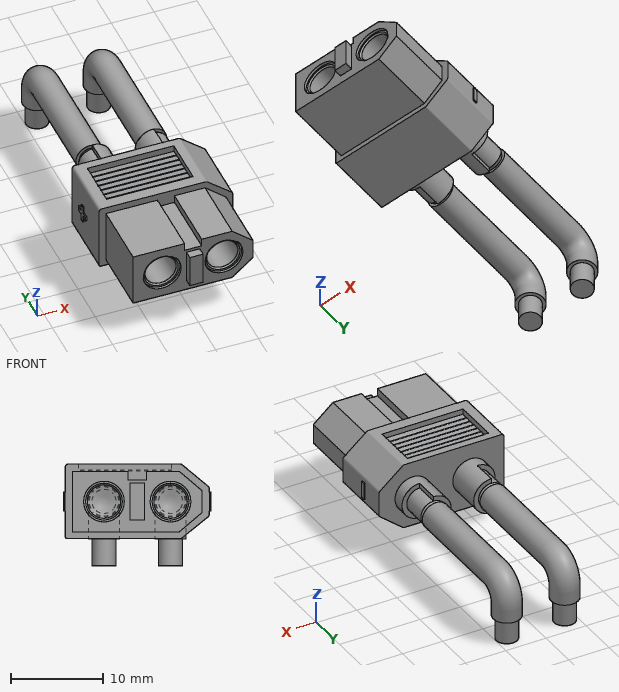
import cadquery as cq
import math


overall_length = 38.9

contact_pitch = 7.2
contact_dia = 4.4
socket_dia = 3.6
socket_mouth_dia = 3.95
socket_depth = 7.0
socket_tip_angle = 150.0
contact_recess = 0.3
cup_cut_start = 17.23
cup_end = 20.25
core_dia = 3.2
conductor_dia = 2.6
sleeve_dia = 3.4
sleeve_start = 20.75
wire_z = 0.02
bend_radius = 2.5
sleeve_bottom = -4.05
conductor_bottom = -6.95

plug_length = 7.85
plug_width = 14.0
plug_height = 6.55
plug_nose_height = 2.37
plug_shoulder_x = 4.55
key_slot_width = 2.0
key_slot_depth = 0.95
tongue_width = 1.55
tongue_height = 3.95
tongue_length = 0.97

shell_length = 7.85
shell_width = 15.6
shell_top = 4.1
shell_bottom = -4.0
shell_nose_height = 3.1
shell_shoulder_x = 4.75
top_round = 0.4
bottom_round = 0.25
panel_left = -6.38
panel_width = 10.07
panel_front = 9.2
panel_length = 5.52
panel_depth = 0.78
tooth_count = 7
tooth_pitch = panel_length / tooth_count
tooth_height = 0.1
mark_length = 2.05
mark_stroke = 0.55
mark_height = 0.15
mark_y = 12.45

shell_end = plug_length + shell_length
wire_end = overall_length - tongue_length
drop_y = wire_end - sleeve_dia / 2
contact_sides = (-1, 1)


def block(x_min, x_max, y_min, y_max, z_min, z_max):
    """Axis-aligned box between the given limits."""
    size = (x_max - x_min, y_max - y_min, z_max - z_min)
    return cq.Workplane("XY").box(*size, centered=False).translate((x_min, y_min, z_min))


def rod(x, diameter, y_min, y_max):
    """Cylinder along Y on a contact axis."""
    return (
        cq.Workplane("XZ", origin=(x, y_min, 0))
        .circle(diameter / 2)
        .extrude(y_min - y_max)
    )


def pointed_prism(width, top, bottom, nose_height, shoulder_x, y_min, length):
    """Prism along Y whose +X end narrows to a blunt nose."""
    side = width / 2
    nose = nose_height / 2
    outline = [
        (-side, bottom),
        (shoulder_x, bottom),
        (side, -nose),
        (side, nose),
        (shoulder_x, top),
        (-side, top),
    ]
    return cq.Workplane("XZ", origin=(0, y_min, 0)).polyline(outline).close().extrude(-length)


def contact_x(side):
    return side * contact_pitch / 2


def cut_contact_bores(body):
    """Bore the two through holes that hold the contacts."""
    for side in contact_sides:
        body = body.cut(rod(contact_x(side), contact_dia, 0, shell_end))
    return body


def make_plug():
    half_height = plug_height / 2
    plug = pointed_prism(
        plug_width, half_height, -half_height, plug_nose_height, plug_shoulder_x, 0, plug_length
    )
    half_slot = key_slot_width / 2
    key_slot = block(
        -half_slot, half_slot, 0, plug_length, half_height - key_slot_depth, half_height
    )
    half_width = tongue_width / 2
    half_tongue = tongue_height / 2
    tongue = block(-half_width, half_width, -tongue_length, 0, -half_tongue, half_tongue)
    return cut_contact_bores(plug.cut(key_slot).union(tongue))


def make_panel_recess():
    """Panel pocket whose floor is a row of sawtooth ramps that fall towards +Y."""
    floor = shell_top - panel_depth
    panel_back = panel_front + panel_length
    outline = [(panel_front, shell_top)]
    for tooth in range(tooth_count):
        tooth_front = panel_front + tooth * tooth_pitch
        outline.append((tooth_front, floor + tooth_height))
        outline.append((tooth_front + tooth_pitch, floor))
    outline.append((panel_back, shell_top))
    return (
        cq.Workplane("YZ", origin=(panel_left, 0, 0))
        .polyline(outline)
        .close()
        .extrude(panel_width)
    )


def mark_stroke_block(x_min, length_y, length_z):
    """One raised stroke of a polarity mark on a side wall."""
    return block(
        x_min, x_min + mark_height,
        mark_y - length_y / 2, mark_y + length_y / 2,
        -length_z / 2, length_z / 2,
    )


def make_shell():
    shell = pointed_prism(
        shell_width, shell_top, shell_bottom, shell_nose_height, shell_shoulder_x,
        plug_length, shell_length,
    )
    shell = shell.edges("|Y").edges(">Z or >X").fillet(top_round)
    shell = shell.edges("|Y").edges("<Z").fillet(bottom_round)
    shell = shell.cut(make_panel_recess())

    plus_x = -shell_width / 2 - mark_height
    minus_x = shell_width / 2
    shell = shell.union(mark_stroke_block(plus_x, mark_length, mark_stroke))
    shell = shell.union(mark_stroke_block(plus_x, mark_stroke, mark_length))
    shell = shell.union(mark_stroke_block(minus_x, mark_stroke, mark_length))
    return cut_contact_bores(shell)


def make_contact(side):
    x = contact_x(side)
    mouth_chamfer = (socket_mouth_dia - socket_dia) / 2
    tip_length = socket_dia / 2 / math.tan(math.radians(socket_tip_angle / 2))
    socket_end = contact_recess + socket_depth
    half_section = [
        (0, socket_end + tip_length),
        (socket_dia / 2, socket_end),
        (socket_dia / 2, contact_recess + mouth_chamfer),
        (socket_mouth_dia / 2, contact_recess),
        (contact_dia / 2, contact_recess),
        (contact_dia / 2, cup_end),
        (0, cup_end),
    ]
    contact = (
        cq.Workplane("XY")
        .polyline(half_section)
        .close()
        .revolve(360, (0, 0, 0), (0, 1, 0))
        .translate((x, 0, 0))
    )
    radius = contact_dia / 2
    x_limits = sorted((x, x + side * radius))
    contact = contact.cut(block(*x_limits, cup_cut_start, cup_end, -radius, radius))
    core_bore = rod(x, core_dia, cup_cut_start, cup_end).translate((0, 0, wire_z))
    return contact.cut(core_bore)


def make_wire(side):
    x = contact_x(side)
    sleeve_path = (
        cq.Workplane("YZ", origin=(x, 0, 0))
        .moveTo(sleeve_start, wire_z)
        .lineTo(drop_y - bend_radius, wire_z)
        .radiusArc((drop_y, wire_z - bend_radius), bend_radius)
        .lineTo(drop_y, sleeve_bottom)
    )
    sleeve = (
        cq.Workplane("XZ", origin=(x, sleeve_start, wire_z)).circle(sleeve_dia / 2).sweep(sleeve_path)
    )
    taper_length = sleeve_start - cup_end
    taper_height = (core_dia - conductor_dia) / 2
    core = (
        rod(x, core_dia, cup_cut_start, sleeve_start)
        .faces(">Y")
        .chamfer(taper_length, taper_height)
        .translate((0, 0, wire_z))
    )
    conductor = (
        cq.Workplane("XY", origin=(x, drop_y, conductor_bottom))
        .circle(conductor_dia / 2)
        .extrude(sleeve_bottom - conductor_bottom)
    )
    return sleeve.union(core).union(conductor)


plug = make_plug()
shell = make_shell()
contacts = [make_contact(side) for side in contact_sides]
wires = [make_wire(side) for side in contact_sides]

result = cq.Compound.makeCompound(
    [plug.val(), shell.val()]
    + [contact.val() for contact in contacts]
    + [wire.val() for wire in wires]
)